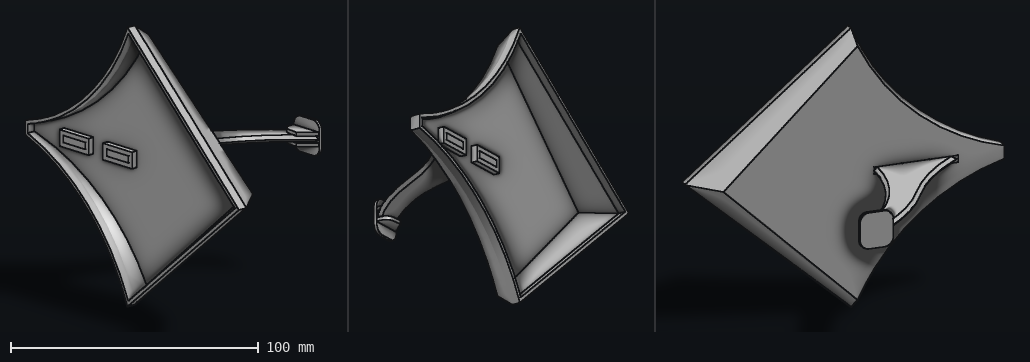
import cadquery as cq
import math


LENGTH = 135.6
CORNER_X = 64.8
CORNER_Z = 59.47
TIP_HALF_WIDTH = 3.1
ARC_RADIUS = 99.0
RIM_HEIGHT = 4.0
TIP_HEIGHT = 5.0
BACK_TILT = 5.7
SIDE_DRAFT = 30.0
ARC_DRAFT = 15.0
WALL = 1.6
CUTTER_SIZE = 542.5
CONE_HEIGHT = 27.1

BOSS_START = 18.5
BOSS_PITCH = 24.7
BOSS_COUNT = 2
BOSS_LENGTH = 16.5
BOSS_WIDTH = 7.0
BOSS_HEIGHT = 2.7
BOSS_WALL = 2.0
PEG_LENGTH = BOSS_LENGTH - 2 * BOSS_WALL
PEG_WIDTH = BOSS_WIDTH - 2 * BOSS_WALL
PEG_DEPTH = WALL + BOSS_HEIGHT

ARM_HALF_THICKNESS = PEG_WIDTH / 2
EDGE_ANGLE = 45.0
ARM_FRONT_ROOT = (57.5, 8.8)
ARM_FRONT_MID = (64.0, 45.6)
ARM_FRONT_KINK = (79.5, 72.5)
ARM_REAR_ROOT = (17.0, 3.4)
ARM_REAR_MID = (37.2, 25.5)
ARM_REAR_BEND = (49.5, 46.2)
ARM_REAR_UPPER = (64.8, 70.8)
ARM_REAR_TOP = (76.0, 82.7)

HOOK_START_X = 72.8
HOOK_END_X = 87.3
HOOK_TOP = 83.3
HOOK_PLATE_THICKNESS = 1.5
HOOK_PLATE_WIDTH = 15.3
HOOK_PLATE_RADIUS = 3.8
CHEEK_WIDTH = 6.2
CHEEK_BOTTOM = 74.7
CHEEK_RADIUS = 3.8
END_SLOPE = 50.0

TILT = math.radians(BACK_TILT)
ALONG_BACK = (math.cos(TILT), math.sin(TILT), 0)
BACK_NORMAL = (-math.sin(TILT), math.cos(TILT), 0)


def tilted_plane(origin):
    """Plane parallel to the back face: local x along it, normal pointing at the hook."""
    return cq.Workplane(cq.Plane(origin, ALONG_BACK, BACK_NORMAL))


def half_space(point, normal, inset=0):
    """Everything beyond a plane that is moved inward by the inset."""
    direction = cq.Vector(*normal).normalized()
    origin = cq.Vector(*point) - direction * inset
    return cq.Workplane(cq.Plane(origin, normal=direction)).rect(CUTTER_SIZE, CUTTER_SIZE).extrude(CUTTER_SIZE)


def flank_cutter(side, inset):
    """Cylinder with a cone on top that hollows one flank; side is +1 or -1 in Z."""
    chord_x = CORNER_X
    chord_z = CORNER_Z - TIP_HALF_WIDTH
    chord = math.hypot(chord_x, chord_z)
    reach = math.sqrt(ARC_RADIUS**2 - (chord / 2) ** 2)
    center_x = chord_x / 2 - reach * chord_z / chord
    center_z = TIP_HALF_WIDTH + chord_z / 2 + reach * chord_x / chord

    radius = ARC_RADIUS + inset
    draft = math.radians(ARC_DRAFT)
    bend = RIM_HEIGHT - inset * math.tan(draft / 2)
    top_radius = radius + CONE_HEIGHT * math.tan(draft)
    profile = [(0, 0), (radius, 0), (radius, bend), (top_radius, bend + CONE_HEIGHT), (0, bend + CONE_HEIGHT)]
    cutter = cq.Workplane("XY").polyline(profile).close().revolve(360, (0, 0), (0, 1))
    return cutter.translate((center_x, 0, side * center_z))


def kite(inset):
    """Solid kite whose faces, except the open rim, are moved inward by the inset."""
    body = cq.Workplane("XY").box(
        LENGTH - inset, CONE_HEIGHT, 2 * CORNER_Z, centered=(False, False, True)
    ).translate((inset, 0, 0))
    body = body.cut(half_space((0, TIP_HEIGHT, 0), BACK_NORMAL, inset))
    draft = math.radians(SIDE_DRAFT)
    sharp_tip = (LENGTH, RIM_HEIGHT, 0)
    for side in (1, -1):
        outward = cq.Vector(CORNER_Z, 0, side * (LENGTH - CORNER_X)).normalized()
        sloped = outward * math.cos(draft) + cq.Vector(0, math.sin(draft), 0)
        body = body.cut(half_space(sharp_tip, outward.toTuple(), inset))
        body = body.cut(half_space(sharp_tip, sloped.toTuple(), inset))
        body = body.cut(flank_cutter(side, inset))
    return body


def blocks_under_back(length, width, depth):
    """One block per boss position, from the back face down toward the open rim."""
    centers = [(BOSS_START + BOSS_LENGTH / 2 + i * BOSS_PITCH, 0) for i in range(BOSS_COUNT)]
    return tilted_plane((0, TIP_HEIGHT, 0)).pushPoints(centers).rect(length, width).extrude(-depth)


def make_shell(pegs):
    bosses = blocks_under_back(BOSS_LENGTH, BOSS_WIDTH, PEG_DEPTH)
    return kite(0).cut(kite(WALL)).union(bosses).cut(pegs)


PLATE_TOP_CORNER = (HOOK_END_X, HOOK_TOP, 0)
PLATE_UNDERSIDE = (
    HOOK_END_X - HOOK_PLATE_THICKNESS * BACK_NORMAL[0],
    HOOK_TOP - HOOK_PLATE_THICKNESS * BACK_NORMAL[1],
    0,
)
END_RUN = 1 / math.tan(math.radians(END_SLOPE))


def slanted_end_x(y):
    """X of the slanted end, which passes through the arm's front kink."""
    return ARM_FRONT_KINK[0] + (y - ARM_FRONT_KINK[1]) * END_RUN


def arm_half(direction):
    """Half of the blade on one side of Z = 0, narrowing away from it."""
    over_top = HOOK_TOP + 2 * HOOK_PLATE_THICKNESS
    profile = (
        cq.Workplane("XY")
        .moveTo(ARM_FRONT_ROOT[0], 0)
        .lineTo(*ARM_FRONT_ROOT)
        .threePointArc(ARM_FRONT_MID, ARM_FRONT_KINK)
        .lineTo(slanted_end_x(over_top), over_top)
        .lineTo(ARM_REAR_TOP[0], over_top)
        .lineTo(*ARM_REAR_TOP)
        .threePointArc(ARM_REAR_UPPER, ARM_REAR_BEND)
        .threePointArc(ARM_REAR_MID, ARM_REAR_ROOT)
        .lineTo(ARM_REAR_ROOT[0], 0)
        .close()
    )
    return profile.extrude(direction * ARM_HALF_THICKNESS, taper=EDGE_ANGLE)


def make_arm(pegs):
    below_back = tuple(-c for c in BACK_NORMAL)
    arm = arm_half(1).union(arm_half(-1))
    arm = arm.cut(half_space((0, TIP_HEIGHT, 0), below_back))
    arm = arm.cut(half_space(PLATE_UNDERSIDE, BACK_NORMAL))
    return arm.union(pegs)


def make_hook():
    """Rounded plate on the arm's end, with a cheek on each side of the blade."""
    plate_length = (HOOK_END_X - HOOK_START_X) / math.cos(TILT)
    plate = (
        tilted_plane(PLATE_TOP_CORNER)
        .center(-plate_length / 2, 0)
        .rect(plate_length, HOOK_PLATE_WIDTH)
        .extrude(-HOOK_PLATE_THICKNESS)
        .edges(cq.selectors.ParallelDirSelector(cq.Vector(*BACK_NORMAL)))
        .fillet(HOOK_PLATE_RADIUS)
    )
    cheeks = (
        cq.Workplane("XY")
        .moveTo(HOOK_START_X, HOOK_TOP)
        .lineTo(HOOK_START_X, CHEEK_BOTTOM + CHEEK_RADIUS)
        .radiusArc((HOOK_START_X + CHEEK_RADIUS, CHEEK_BOTTOM), -CHEEK_RADIUS)
        .lineTo(slanted_end_x(CHEEK_BOTTOM), CHEEK_BOTTOM)
        .lineTo(slanted_end_x(HOOK_TOP), HOOK_TOP)
        .close()
        .extrude(CHEEK_WIDTH / 2, both=True)
        .cut(half_space(PLATE_UNDERSIDE, BACK_NORMAL))
    )
    slot = cq.Workplane("XY").rect(CUTTER_SIZE, CUTTER_SIZE).extrude(ARM_HALF_THICKNESS, both=True)
    return plate.union(cheeks.cut(slot))


pegs = blocks_under_back(PEG_LENGTH, PEG_WIDTH, PEG_DEPTH)
shell = make_shell(pegs)
arm = make_arm(pegs)
hook = make_hook()

result = cq.Compound.makeCompound([shell.solids().val(), arm.solids().val(), hook.solids().val()])